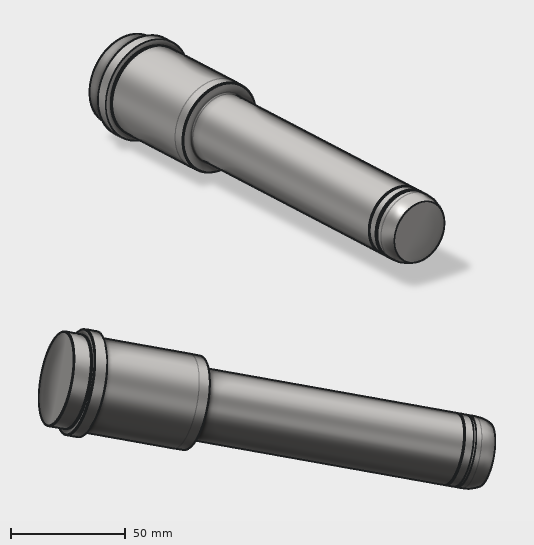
import cadquery as cq

total_length = 200.0
head_diameter = 42.0
shank_diameter = 32.0
collar_diameter = 47.0

rear_chamfer = 0.5
collar_start = 8.8
collar_end = 14.5
collar_chamfer = 0.5
rear_relief_width = 0.8
rear_relief_depth = 0.2
front_relief_width = 1.2
front_relief_depth = 0.2

head_end = 64.0
head_taper_start = 58.5
head_taper_depth = 0.1
head_chamfer = 0.5
shank_root_fillet = 0.5

groove_depth = 0.2
groove_spans = [(184.5, 185.2), (189.2, 190.5)]
tip_start = 192.8
tip_diameter = 28.5
tip_bulge = 0.5

head_radius = head_diameter / 2
shank_radius = shank_diameter / 2
collar_radius = collar_diameter / 2
tip_radius = tip_diameter / 2


def make_blank():
    """Head, collar and shank as one profile turned about the X axis."""
    head_end_radius = head_radius - head_taper_depth
    tip_middle = ((tip_start + total_length) / 2, (shank_radius + tip_radius) / 2 + tip_bulge)
    return (
        cq.Workplane("XY")
        .lineTo(0, head_radius - rear_chamfer)
        .lineTo(rear_chamfer, head_radius)
        .lineTo(collar_start, head_radius)
        .lineTo(collar_start, collar_radius - collar_chamfer)
        .lineTo(collar_start + collar_chamfer, collar_radius)
        .lineTo(collar_end, collar_radius)
        .lineTo(collar_end, head_radius)
        .lineTo(head_taper_start, head_radius)
        .lineTo(head_end - head_chamfer, head_end_radius)
        .lineTo(head_end, head_end_radius - head_chamfer)
        .lineTo(head_end, shank_radius + shank_root_fillet)
        .radiusArc((head_end + shank_root_fillet, shank_radius), -shank_root_fillet)
        .lineTo(tip_start, shank_radius)
        .threePointArc(tip_middle, (total_length, tip_radius))
        .lineTo(total_length, 0)
        .close()
        .revolve(360, (0, 0, 0), (1, 0, 0))
    )


def ring_groove(start, end, outer_radius, depth):
    """Ring of material to remove for a shallow groove around the X axis."""
    return (
        cq.Workplane("YZ", origin=(start, 0, 0))
        .circle(outer_radius)
        .circle(outer_radius - depth)
        .extrude(end - start)
    )


result = make_blank()

rear_relief_start = collar_start - rear_relief_width
front_relief_end = collar_end + front_relief_width
result = result.cut(ring_groove(rear_relief_start, collar_start, head_radius, rear_relief_depth))
result = result.cut(ring_groove(collar_end, front_relief_end, head_radius, front_relief_depth))

for groove_start, groove_end in groove_spans:
    result = result.cut(ring_groove(groove_start, groove_end, shank_radius, groove_depth))